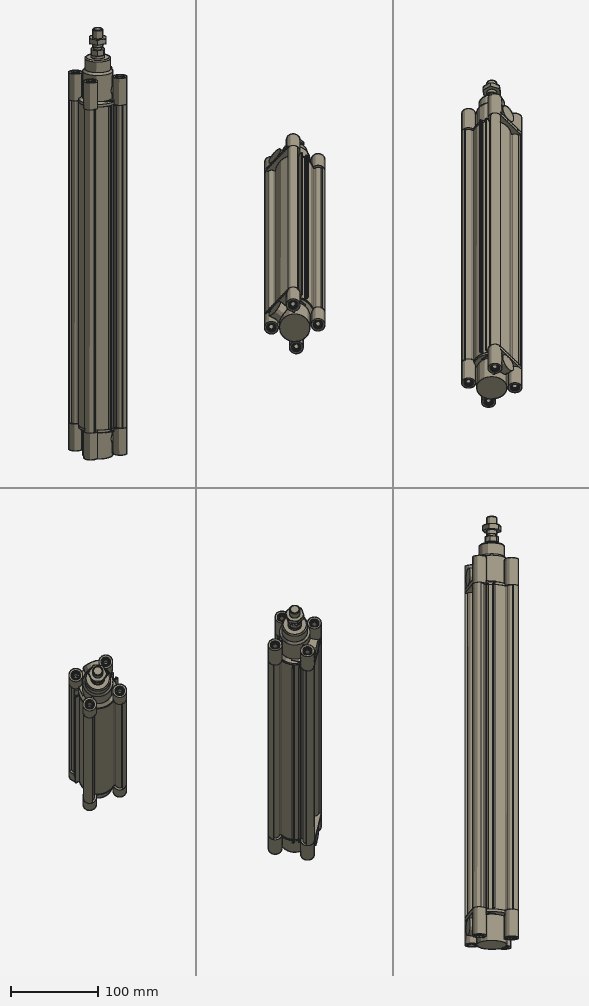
import cadquery as cq
import math

TOTAL_HEIGHT = 514.0
SPIGOT_HEIGHT = 4.0
CAP_HEIGHT = 32.5
HEAD_CAP_FACE = 459.0
TUBE_BOTTOM = SPIGOT_HEIGHT + CAP_HEIGHT
TUBE_TOP = HEAD_CAP_FACE - CAP_HEIGHT

OUTER_WIDTH = 54.0
POST_DIAMETER = 16.0
POST_OFFSET = (OUTER_WIDTH - POST_DIAMETER) / 2
SPIGOT_DIAMETER = 35.0
FLANGE_DIAMETER = 44.0
FLANGE_HEIGHT = 3.0
FLARE_HEIGHT = 1.8
WEB_WIDTH = 2.0
SCREW_HOLE_STEPS = [(11.0, 1.5), (8.0, 3.0), (5.5, 15.5)]
PORT_BOSS_DIAMETER = 20.5
PORT_BOSS_OFFSET = 4.0

NECK_DIAMETER = 30.0
NECK_TOP = 480.0
NECK_CHAMFER = 1.5
NECK_BASE_CONE = 2.5

ROD_DIAMETER = 16.0
ROD_SHOULDER = 490.0
WRENCH_DIAMETER = 15.5
WRENCH_FLATS = 13.5
WRENCH_BOTTOM = 483.0
THREAD_DIAMETER = 12.0
THREAD_BOTTOM = 493.0
THREAD_CHAMFER = 1.0
RELIEF_DIAMETER = 10.0

NUT_ACROSS_FLATS = 19.0
NUT_HEIGHT = 6.0
NUT_CHAMFER = 1.0
NUT_BOTTOM = 497.5

BULGE_DIAMETER = 44.5
VALLEY_FILLET = 1.0
RIB_DIAMETER = 11.0
RAIL_BOTTOM = 2.5
RAIL_THICKNESS = 1.5
RAIL_HOOK_WIDTH = 1.0
RAIL_HOOK_HEIGHT = 1.0
RAIL_HOOK_INSET = 1.0
RAIL_ROOT = 15.5
LIP_BOTTOM = 10.0
LIP_TOP = 11.5
LIP_OUTER = 24.5

QUADRANTS = [(sx, sy) for sx in (-1, 1) for sy in (-1, 1)]


def cylinder(diameter, bottom, top):
    return cq.Workplane("XY").workplane(offset=bottom).circle(diameter / 2).extrude(top - bottom)


def bar(x_range, y_range, z_range):
    """Rectangular block between the given limits, in either order."""
    sizes = [abs(b - a) for a, b in (x_range, y_range, z_range)]
    centre = [(a + b) / 2 for a, b in (x_range, y_range, z_range)]
    return cq.Workplane("XY").box(*sizes).translate(tuple(centre))


def make_cap():
    """Cap with its inner face at Z = 0 and its outer face pointing up."""
    flange_radius = FLANGE_DIAMETER / 2
    body_radius = SPIGOT_DIAMETER / 2
    spigot_top = CAP_HEIGHT + SPIGOT_HEIGHT
    ledge_height = FLANGE_HEIGHT + FLARE_HEIGHT
    port_face = OUTER_WIDTH / 2
    half_section = [
        (0, 0),
        (flange_radius, 0),
        (flange_radius, FLANGE_HEIGHT),
        (body_radius, ledge_height),
        (body_radius, spigot_top),
        (0, spigot_top),
    ]
    cap = cq.Workplane("XZ").polyline(half_section).close().revolve(360, (0, 0, 0), (0, 1, 0))

    cap = cap.union(bar((-POST_OFFSET, POST_OFFSET), (0, port_face), (0, ledge_height)))
    port_boss = (
        cq.Workplane("XZ")
        .center(PORT_BOSS_OFFSET, ledge_height + PORT_BOSS_DIAMETER / 2)
        .circle(PORT_BOSS_DIAMETER / 2)
        .extrude(-port_face)
    )
    cap = cap.union(port_boss)

    for sx, sy in QUADRANTS:
        place = (sx * POST_OFFSET, sy * POST_OFFSET, 0)
        web_length = math.hypot(POST_OFFSET, POST_OFFSET)
        web = bar((0, web_length), (-WEB_WIDTH / 2, WEB_WIDTH / 2), (0, CAP_HEIGHT))
        web_angle = math.degrees(math.atan2(sy, sx))
        cap = cap.union(web.rotate((0, 0, 0), (0, 0, 1), web_angle))
        cap = cap.union(cylinder(POST_DIAMETER, 0, CAP_HEIGHT).translate(place))

    for sx, sy in QUADRANTS:
        place = (sx * POST_OFFSET, sy * POST_OFFSET, 0)
        for diameter, depth in SCREW_HOLE_STEPS:
            step = cylinder(diameter, CAP_HEIGHT - depth, CAP_HEIGHT)
            cap = cap.cut(step.translate(place))
    return cap


def make_end_cap():
    return make_cap().mirror("XY").translate((0, 0, TUBE_BOTTOM))


def make_head_cap():
    """Rod-side cap: the plain cap with a guide neck and the rod bore."""
    spigot_top = HEAD_CAP_FACE + SPIGOT_HEIGHT
    neck = cylinder(NECK_DIAMETER, HEAD_CAP_FACE, NECK_TOP).faces(">Z").chamfer(NECK_CHAMFER)
    neck_base = (
        cq.Workplane("XY")
        .workplane(offset=spigot_top)
        .circle(SPIGOT_DIAMETER / 2)
        .workplane(offset=NECK_BASE_CONE)
        .circle(NECK_DIAMETER / 2)
        .loft()
    )
    cap = make_cap().translate((0, 0, TUBE_TOP)).union(neck_base).union(neck)
    return cap.cut(cylinder(ROD_DIAMETER, TUBE_TOP, NECK_TOP))


def lobe(z_range):
    """Quarter disc on the outer side of the +X +Y post axis."""
    radius = POST_DIAMETER / 2
    diagonal = radius * math.sqrt(0.5)
    return (
        cq.Workplane("XY")
        .workplane(offset=z_range[0])
        .center(POST_OFFSET, POST_OFFSET)
        .lineTo(radius, 0)
        .threePointArc((diagonal, diagonal), (0, radius))
        .close()
        .extrude(z_range[1] - z_range[0])
    )


def sensor_slot(z_range):
    """Hooked rail and facing lip that form the sensor slot on the +X side."""
    tip = OUTER_WIDTH / 2
    rail_top = RAIL_BOTTOM + RAIL_THICKNESS
    hook_outer = tip - RAIL_HOOK_INSET
    rail = bar((RAIL_ROOT, tip), (RAIL_BOTTOM, rail_top), z_range)
    hook_top = rail_top + RAIL_HOOK_HEIGHT
    hook = bar((hook_outer - RAIL_HOOK_WIDTH, hook_outer), (RAIL_BOTTOM, hook_top), z_range)
    lip = bar((RAIL_ROOT, LIP_OUTER), (LIP_BOTTOM, LIP_TOP), z_range)
    return rail.union(hook).union(lip)


def make_tube():
    z_range = (TUBE_BOTTOM, TUBE_TOP)
    tube = cylinder(BULGE_DIAMETER, *z_range)
    for sx, sy in QUADRANTS:
        place = (sx * POST_OFFSET, sy * POST_OFFSET, 0)
        tube = tube.union(cylinder(RIB_DIAMETER, *z_range).translate(place))
    tube = tube.edges("|Z").fillet(VALLEY_FILLET)
    for angle in (0, 90, 180, 270):
        tube = tube.union(lobe(z_range).rotate((0, 0, 0), (0, 0, 1), angle))
    slot = sensor_slot(z_range)
    return tube.union(slot).union(slot.mirror("YZ"))


def make_rod():
    wrench_section = cylinder(WRENCH_DIAMETER, WRENCH_BOTTOM, ROD_SHOULDER)
    for side in (-1, 1):
        flat = bar(
            (side * WRENCH_FLATS / 2, side * ROD_DIAMETER),
            (-ROD_DIAMETER, ROD_DIAMETER),
            (WRENCH_BOTTOM, ROD_SHOULDER),
        )
        wrench_section = wrench_section.cut(flat)
    thread = cylinder(THREAD_DIAMETER, THREAD_BOTTOM, TOTAL_HEIGHT).faces(">Z").chamfer(THREAD_CHAMFER)
    relief = cylinder(RELIEF_DIAMETER, ROD_SHOULDER, THREAD_BOTTOM)
    rod = cylinder(ROD_DIAMETER, TUBE_TOP, WRENCH_BOTTOM).union(wrench_section)
    return rod.union(relief).union(thread)


def make_nut():
    """Hexagon nut with two flats square to X."""
    across_corners = NUT_ACROSS_FLATS / math.cos(math.pi / 6)
    nut = (
        cq.Workplane("XY")
        .workplane(offset=NUT_BOTTOM)
        .transformed(rotate=(0, 0, 90))
        .polygon(6, across_corners)
        .circle(THREAD_DIAMETER / 2)
        .extrude(NUT_HEIGHT)
    )
    blank = cylinder(across_corners, NUT_BOTTOM, NUT_BOTTOM + NUT_HEIGHT)
    return nut.intersect(blank.faces(">Z").chamfer(NUT_CHAMFER))


end_cap = make_end_cap()
tube = make_tube()
head_cap = make_head_cap()
rod = make_rod()
nut = make_nut()

result = cq.Compound.makeCompound([end_cap.val(), tube.val(), head_cap.val(), rod.val(), nut.val()])